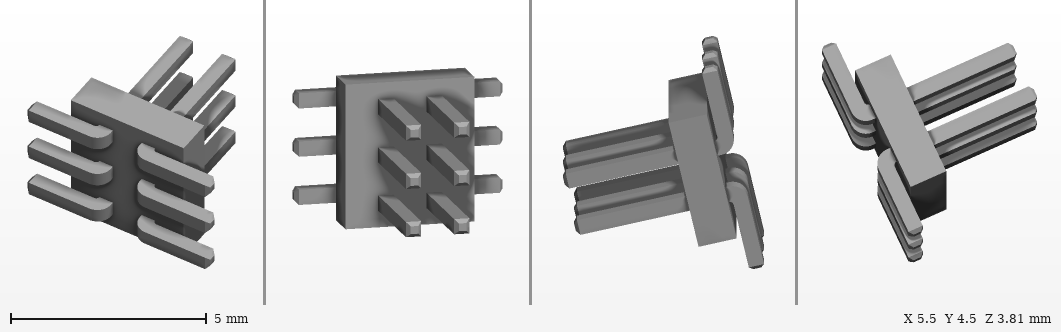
import cadquery as cq

pitch = 1.27
pins_per_row = 3
overall_width = 5.5
overall_depth = 4.5

body_width = 3.4
body_depth = 1.0
body_height = pins_per_row * pitch

pin_size = 0.4
tip_chamfer = 0.1
standoff = 0.1
inner_bend_radius = 0.1
outer_bend_radius = pin_size

pin_inner_face = (pitch - pin_size) / 2
pin_outer_face = pin_inner_face + pin_size
foot_tip = overall_width / 2


def make_body():
    """Plain insulator block, held off the soldering face (Y = 0) by feet and gap."""
    body_front = pin_size + standoff
    return cq.Workplane("XY").box(
        body_width, body_depth, body_height, centered=(True, False, True)
    ).translate((0, body_front, 0))


def make_bent_pin():
    """L-shaped pin of the +X row, centred on Z = 0, with its foot lying on Y = 0."""
    pin = (
        cq.Workplane("XY")
        .moveTo(pin_inner_face, 0)
        .lineTo(foot_tip, 0)
        .lineTo(foot_tip, pin_size)
        .lineTo(pin_outer_face, pin_size)
        .lineTo(pin_outer_face, overall_depth)
        .lineTo(pin_inner_face, overall_depth)
        .close()
        .extrude(pin_size / 2, both=True)
    )
    outer_corner = cq.selectors.NearestToPointSelector((pin_inner_face, 0, 0))
    inner_corner = cq.selectors.NearestToPointSelector((pin_outer_face, pin_size, 0))
    pin = pin.edges("|Z").edges(outer_corner).fillet(outer_bend_radius)
    pin = pin.edges("|Z").edges(inner_corner).fillet(inner_bend_radius)
    pin = pin.faces(">Y").chamfer(tip_chamfer)
    return pin.faces(">X").chamfer(tip_chamfer)


right_pin = make_bent_pin()
left_pin = right_pin.mirror("YZ")

result = make_body()
for index in range(pins_per_row):
    pin_z = (index - (pins_per_row - 1) / 2) * pitch
    for pin in (left_pin, right_pin):
        result = result.union(pin.translate((0, 0, pin_z)))